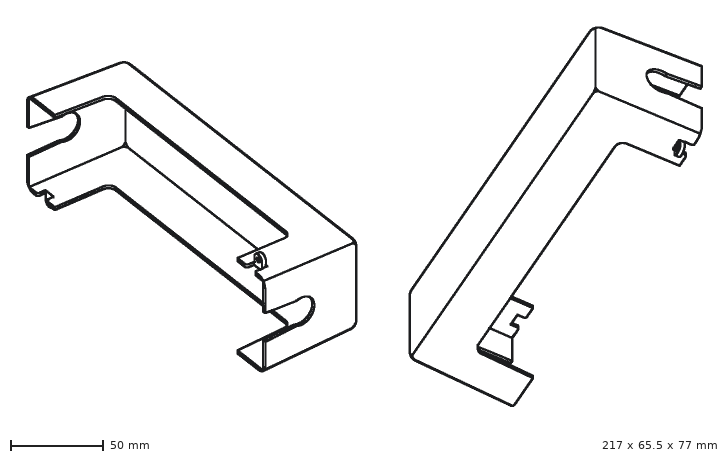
import cadquery as cq
import math

length = 217.0
height = 63.1
depth = 65.5
wall = 2.0
draft = math.tan(math.radians(1.5))
corner_radius = 6.0

notch_half_width = 83.1
notch_depth = 36.7
notch_radius = 5.0

slot_diameter = 18.0
slot_depth = 33.6
slot_neck_width = 16.7
slot_mouth_width = 19.0
slot_radius = slot_diameter / 2
slot_neck_half_width = slot_neck_width / 2
slot_mouth_half_width = slot_mouth_width / 2

tab_x = 95.0
height_over_tabs = 77.0
tab_width = 7.2
tab_thickness = 2.5
tab_front_y = 5.2
tab_hole_diameter = 2.8
tab_heel = 0.9
relief_width = 7.5
relief_flare = 1.3

tab_tip_z = height_over_tabs / 2
tab_radius = tab_width / 2
tab_base_z = height / 2 - wall - draft * tab_front_y
cut_margin = 2.2


def tapered_block(rim_length, rim_height, block_depth):
    """Block on the rim plane that narrows towards the back by the draft."""
    shrink = 2 * draft * block_depth
    return (
        cq.Workplane("XZ")
        .rect(rim_length, rim_height)
        .workplane(offset=-block_depth)
        .rect(rim_length - shrink, rim_height - shrink)
        .loft(combine=True)
    )


def shell():
    outer = tapered_block(length, height, depth)
    outer = outer.edges("not <Y").fillet(corner_radius)
    cavity = tapered_block(length - 2 * wall, height - 2 * wall, depth - wall)
    return outer.cut(cavity)


def wall_notch():
    """Tapered opening with rounded inner corners, through both long walls."""
    back_half_width = notch_half_width - draft * notch_depth
    return (
        cq.Workplane("XY", origin=(0, 0, -height))
        .moveTo(-notch_half_width, 0)
        .lineTo(-back_half_width, notch_depth)
        .lineTo(back_half_width, notch_depth)
        .lineTo(notch_half_width, 0)
        .close()
        .extrude(2 * height)
        .edges("|Z and >Y")
        .fillet(notch_radius)
    )


def end_slot():
    """Round-ended slot, flared towards the rim, through both end walls."""
    center_y = slot_depth - slot_radius
    neck_y = center_y - math.sqrt(slot_radius**2 - slot_neck_half_width**2)
    return (
        cq.Workplane("YZ", origin=(-length, 0, 0))
        .moveTo(0, -slot_mouth_half_width)
        .lineTo(neck_y, -slot_neck_half_width)
        .threePointArc((slot_depth, 0), (neck_y, slot_neck_half_width))
        .lineTo(0, slot_mouth_half_width)
        .close()
        .extrude(2 * length)
    )


def cut_tab_relief(body):
    """Cut the upper wall open in front of the tab and round the two rim corners."""
    relief = (
        cq.Workplane("XY", origin=(tab_x, 0, height / 2 - wall / 2))
        .box(relief_width, 2 * tab_front_y, 2 * (wall + cut_margin))
    )
    rim_corners = cq.selectors.BoxSelector(
        (tab_x - relief_width, -cut_margin, height / 2 - wall - cut_margin),
        (tab_x + relief_width, cut_margin, height / 2 + cut_margin),
    )
    return body.cut(relief).edges("|Z").edges(rim_corners).fillet(relief_flare)


def tab():
    """Round-tipped upright tab with a screw hole and a small heel behind it."""
    hole_z = tab_tip_z - tab_radius
    plate = (
        cq.Workplane("XZ", origin=(tab_x, tab_front_y, 0))
        .moveTo(-tab_radius, tab_base_z)
        .lineTo(-tab_radius, hole_z)
        .threePointArc((0, tab_tip_z), (tab_radius, hole_z))
        .lineTo(tab_radius, tab_base_z)
        .close()
        .moveTo(0, hole_z)
        .circle(tab_hole_diameter / 2)
        .extrude(-tab_thickness)
    )
    back_y = tab_front_y + tab_thickness
    surface_z = height / 2 - draft * back_y
    heel = (
        cq.Workplane("YZ", origin=(tab_x - tab_radius, 0, 0))
        .moveTo(back_y, surface_z - wall / 2)
        .lineTo(back_y, surface_z + tab_heel)
        .lineTo(back_y + tab_heel, surface_z - draft * tab_heel)
        .lineTo(back_y + tab_heel, surface_z - wall / 2)
        .close()
        .extrude(tab_width)
    )
    return plate.union(heel)


def half_turn(body):
    """Same body turned half a revolution about the depth axis."""
    return body.rotate((0, 0, 0), (0, 1, 0), 180)


result = shell().cut(wall_notch()).cut(end_slot())
for _ in range(2):
    result = half_turn(cut_tab_relief(result).union(tab()))